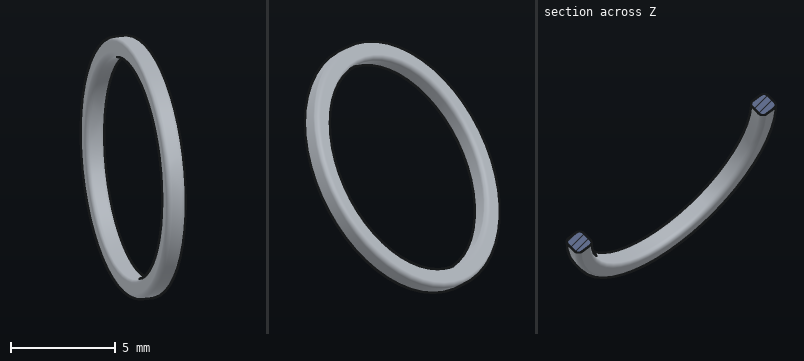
import cadquery as cq

outer_diameter = 12.7
section_side = 1.0
edge_radius = 0.25

outer_radius = outer_diameter / 2
inner_radius = outer_radius - section_side

ring = (
    cq.Workplane("XZ", origin=(0, section_side / 2, 0))
    .circle(outer_radius)
    .circle(inner_radius)
    .extrude(section_side)
)

result = ring.faces("<Y or >Y").edges().fillet(edge_radius)